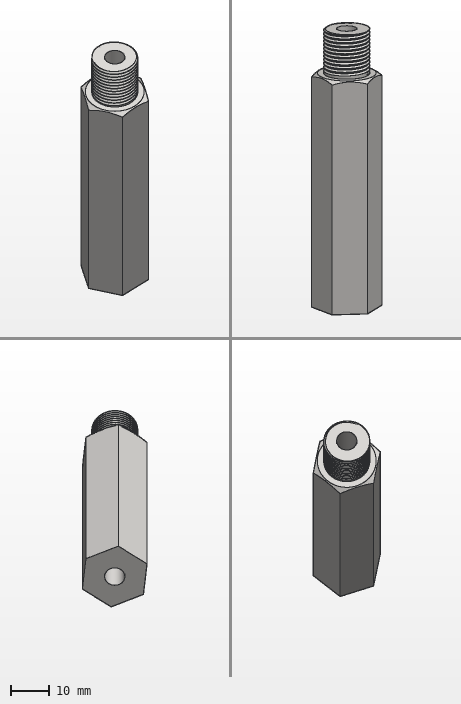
import cadquery as cq
import math

total_length = 75.0
across_flats = 16.0
across_corners = across_flats / math.cos(math.radians(30))
bore_diameter = 5.25

stud_length = 12.0
stud_diameter = 12.0
turns_on_stud = 12
thread_pitch = stud_length / turns_on_stud
thread_depth = 0.5
crest_width = 0.15

chamfer_circle_diameter = 15.3
chamfer_angle = 30.0

body_length = total_length - stud_length
stud_radius = stud_diameter / 2


def hexagonal_body():
    """Hexagonal bar, one corner toward +Y, with its top corners turned down to a cone."""
    bar = (
        cq.Workplane("XY")
        .polygon(6, across_corners)
        .extrude(body_length)
        .rotate((0, 0, 0), (0, 0, 1), 30)
    )
    corner_radius = across_corners / 2
    land_radius = chamfer_circle_diameter / 2
    drop = (corner_radius - land_radius) * math.tan(math.radians(chamfer_angle))
    turned_envelope = (
        cq.Workplane("XZ")
        .moveTo(0, 0)
        .lineTo(corner_radius, 0)
        .lineTo(corner_radius, body_length - drop)
        .lineTo(land_radius, body_length)
        .lineTo(0, body_length)
        .close()
        .revolve(360, (0, 0, 0), (0, 1, 0))
    )
    return bar.intersect(turned_envelope)


def groove_turn():
    """One right-hand turn of the V groove, starting on the -X side at height zero."""
    overcut = 0.1
    half_mouth = (thread_pitch - crest_width) / 2
    half_outer = half_mouth * (thread_depth + overcut) / thread_depth
    helix = cq.Wire.makeHelix(thread_pitch, thread_pitch, stud_radius)
    turn = (
        cq.Workplane("XZ")
        .moveTo(stud_radius - thread_depth, 0)
        .lineTo(stud_radius + overcut, half_outer)
        .lineTo(stud_radius + overcut, -half_outer)
        .close()
        .sweep(cq.Workplane(obj=helix), isFrenet=True)
    )
    return turn.rotate((0, 0, 0), (0, 0, 1), 180)


def threaded_stud():
    """Stud whose thread starts half a pitch above its base and runs out through its end."""
    stud = cq.Workplane("XY").circle(stud_radius).extrude(stud_length)
    turn = groove_turn()
    for index in range(turns_on_stud + 1):
        start_height = (index + 0.5) * thread_pitch
        stud = stud.cut(turn.translate((0, 0, start_height)))
    return stud.translate((0, 0, body_length))


through_bore = cq.Workplane("XY").circle(bore_diameter / 2).extrude(total_length)

result = hexagonal_body().union(threaded_stud()).cut(through_bore)